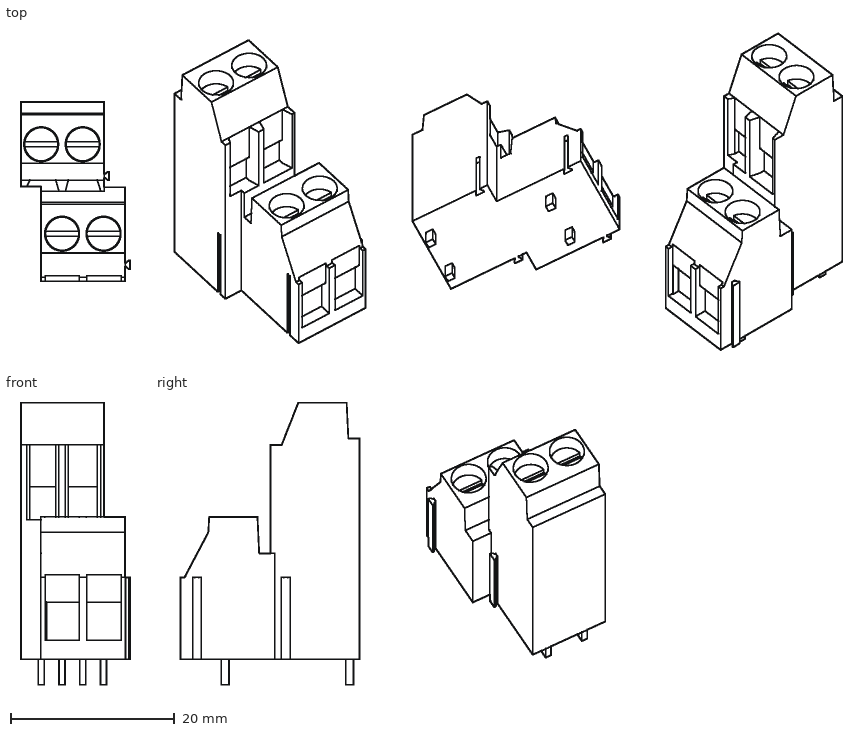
import cadquery as cq

tower_width = 10.17
block_width = 10.27
block_left = 2.45
block_right = block_left + block_width
back_y = 21.92
tower_front_y = 11.58
tower_face_y = 11.0
tower_top = 31.37
tower_shoulder = 27.0
tower_ledge = 26.2
block_top = 17.4
block_ledge = 10.03
valley_floor = 12.95
block_back_y = 11.5

tower_back_slope = (20.55, 20.35)
tower_roof_front_y = 14.4
block_back_slope = (9.65, 9.45)
block_brow = (3.4, 3.5)
block_brow_z = 15.5
block_slope_foot_y = 0.5

pole_count = 2
pole_pitch = 5.05
tower_first_pole_x = 2.48
block_first_pole_x = 5.03
tower_screw_y = 16.75
block_screw_y = 5.83
tower_pin_y = 20.68
block_pin_y = 5.48

well_diameter = 4.25
screw_diameter = 4.07
screw_height = 1.38
screw_sink = 2.15
screw_slot_width = 0.62
screw_slot_depth = 0.62

pin_width = 0.75
pin_thickness = 0.95
pin_length = 3.1

tower_entry_floor = 17.05
tower_entry_step_z = 21.05
tower_entry_back_y = 12.37
tower_entry_deep_y = 13.03
block_entry_floor = 2.35
block_entry_step_z = 7.0
block_entry_top = 11.03
block_entry_back_y = 0.7
block_entry_deep_y = 1.55
block_entry_spans = [(3.0, 7.15, 3.15), (8.03, 12.27, 8.03)]

tower_entry_spans = [(1.1, 4.27, 0.45, 4.65), (5.8, 9.35, 5.45, 9.75)]

dovetail_height = block_ledge
dovetail_neck = 0.48
dovetail_head = 1.07
dovetail_depth = 0.62
dovetail_neck_length = 0.1
dovetail_lip = 0.17
tower_dovetail_y = 12.9
block_dovetail_y = 2.05


def pole_positions(first_x):
    return [first_x + i * pole_pitch for i in range(pole_count)]


def box(x_span, y_span, z_span):
    size = [end - start for start, end in (x_span, y_span, z_span)]
    corner = (x_span[0], y_span[0], z_span[0])
    return cq.Workplane("XY").box(*size, centered=False).translate(corner)


def side_profile(outline, left, right):
    """Extrude a (Y, Z) outline along X from left to right."""
    return cq.Workplane("YZ", origin=(left, 0, 0)).polyline(outline).close().extrude(right - left)


def tower_body():
    outline = [
        (tower_front_y, 0),
        (back_y, 0),
        (back_y, tower_shoulder),
        (tower_back_slope[0], tower_shoulder),
        (tower_back_slope[1], tower_top),
        (tower_roof_front_y, tower_top),
        (tower_entry_back_y, tower_ledge),
        (tower_front_y, tower_ledge),
    ]
    entry_face = box((block_left, tower_width), (tower_face_y, tower_front_y), (0, tower_ledge))
    return side_profile(outline, 0, tower_width).union(entry_face)


def block_body():
    outline = [
        (0, 0),
        (block_back_y, 0),
        (block_back_y, valley_floor),
        (block_back_slope[0], valley_floor),
        (block_back_slope[1], block_top),
        (block_brow[1], block_top),
        (block_brow[0], block_brow_z),
        (block_slope_foot_y, block_ledge),
        (0, block_ledge),
    ]
    return side_profile(outline, block_left, block_right)


def tower_entry(back_left, back_right, front_left, front_right):
    recess = (
        cq.Workplane("XY", origin=(0, 0, tower_entry_floor))
        .polyline([
            (back_left, tower_entry_back_y),
            (back_right, tower_entry_back_y),
            (front_right, tower_face_y),
            (front_left, tower_face_y),
        ])
        .close()
        .extrude(tower_ledge - tower_entry_floor)
    )
    pocket = box(
        (back_left, back_right),
        (tower_entry_back_y, tower_entry_deep_y),
        (tower_entry_floor, tower_entry_step_z),
    )
    return recess.union(pocket)


def block_entry(left, right, pocket_left):
    recess = box((left, right), (0, block_entry_back_y), (block_entry_floor, block_entry_top))
    pocket = box(
        (pocket_left, right),
        (block_entry_back_y, block_entry_deep_y),
        (block_entry_floor, block_entry_step_z),
    )
    return recess.union(pocket)


def dovetail(side_x, centre_y):
    """Dovetail bar whose neck starts at side_x and whose head points to +X."""
    flare = dovetail_depth - dovetail_lip
    return (
        cq.Workplane("XY", origin=(side_x, centre_y, 0))
        .polyline([
            (0, -dovetail_neck / 2),
            (dovetail_neck_length, -dovetail_neck / 2),
            (flare, -dovetail_head / 2),
            (dovetail_depth, -dovetail_head / 2),
            (dovetail_depth, dovetail_head / 2),
            (flare, dovetail_head / 2),
            (dovetail_neck_length, dovetail_neck / 2),
            (0, dovetail_neck / 2),
        ])
        .close()
        .extrude(dovetail_height)
    )


def screw_well(x, y, level_top):
    depth = screw_sink + screw_height
    return (
        cq.Workplane("XY", origin=(x, y, level_top - depth))
        .circle(well_diameter / 2)
        .extrude(depth)
    )


def make_housing():
    housing = tower_body().union(block_body())
    for span in tower_entry_spans:
        housing = housing.cut(tower_entry(*span))
    for span in block_entry_spans:
        housing = housing.cut(block_entry(*span))
    for x in pole_positions(tower_first_pole_x):
        housing = housing.cut(screw_well(x, tower_screw_y, tower_top))
    for x in pole_positions(block_first_pole_x):
        housing = housing.cut(screw_well(x, block_screw_y, block_top))
    housing = housing.union(dovetail(tower_width, tower_dovetail_y))
    housing = housing.union(dovetail(block_right, block_dovetail_y))
    housing = housing.cut(dovetail(0, tower_dovetail_y))
    return housing.cut(dovetail(block_left, block_dovetail_y))


def make_screw(x, y, level_top):
    """Slotted screw standing on the floor of its well."""
    top = level_top - screw_sink
    screw = (
        cq.Workplane("XY", origin=(x, y, top - screw_height))
        .circle(screw_diameter / 2)
        .extrude(screw_height)
    )
    slot = (
        cq.Workplane("XY", origin=(x, y, top - screw_slot_depth))
        .rect(screw_diameter, screw_slot_width)
        .extrude(screw_slot_depth)
    )
    return screw.cut(slot)


def make_pin(x, y):
    """Solder pin hanging from the underside of the housing."""
    return cq.Workplane("XY", origin=(x, y, 0)).rect(pin_width, pin_thickness).extrude(-pin_length)


housing = make_housing()
screws = []
pins = []
for x in pole_positions(tower_first_pole_x):
    screws.append(make_screw(x, tower_screw_y, tower_top))
    pins.append(make_pin(x, tower_pin_y))
for x in pole_positions(block_first_pole_x):
    screws.append(make_screw(x, block_screw_y, block_top))
    pins.append(make_pin(x, block_pin_y))

result = cq.Compound.makeCompound(
    [housing.val()] + [screw.val() for screw in screws] + [pin.val() for pin in pins]
)